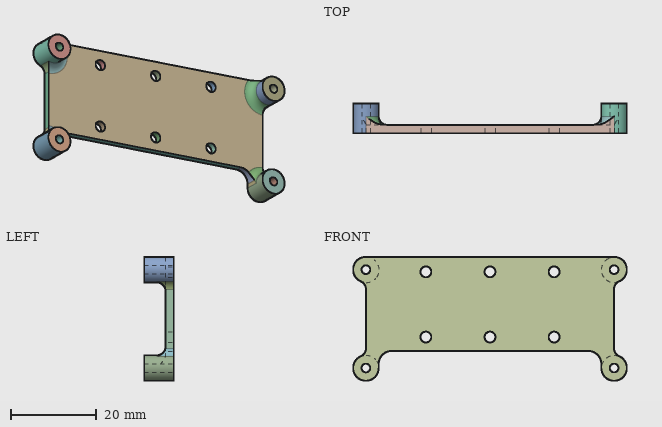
import cadquery as cq
import math

LENGTH = 64.0
HEIGHT = 29.0
DEPTH = 7.0

PLATE_THICKNESS = 2.0
PLATE_HEIGHT = 22.0
SIDE_FILLET = 2.0
NOTCH_FILLET = 3.0

BOSS_DIAMETER = 6.0
BOSS_HOLE_DIAMETER = 2.0
BOSS_ROOT_FILLET = 2.0
SEAM_TILT = 60

HOLE_DIAMETER = 2.5
HOLE_PITCH_X = 15.0
HOLE_PITCH_Z = 15.2
TOP_HOLE_DROP = 3.5

boss_radius = BOSS_DIAMETER / 2
boss_x = LENGTH / 2 - boss_radius
boss_z = HEIGHT / 2 - boss_radius
top_z = HEIGHT / 2
notch_z = top_z - PLATE_HEIGHT
notch_x = boss_x - boss_radius
boss_centres = [(x, z) for x in (-boss_x, boss_x) for z in (-boss_z, boss_z)]


def front_sketch():
    """Workplane on the flat face; a negative extrusion length goes toward +Y."""
    return cq.Workplane("XZ")


def half_web():
    """Right half of the web between the bosses, running in to the boss centres."""
    reach = boss_radius + SIDE_FILLET
    fillet_drop = math.sqrt(reach**2 - SIDE_FILLET**2)
    touch_x = boss_x + boss_radius * SIDE_FILLET / reach
    touch_drop = boss_radius * fillet_drop / reach

    half_angle = math.atan2(fillet_drop, SIDE_FILLET) / 2
    middle_x = boss_x + SIDE_FILLET * (1 - math.cos(half_angle))
    middle_drop = fillet_drop - SIDE_FILLET * math.sin(half_angle)

    corner_inset = NOTCH_FILLET * (1 - math.sqrt(0.5))

    return (
        front_sketch()
        .moveTo(0, top_z)
        .lineTo(boss_x, top_z)
        .lineTo(boss_x, boss_z)
        .lineTo(touch_x, boss_z - touch_drop)
        .threePointArc((middle_x, boss_z - middle_drop), (boss_x, boss_z - fillet_drop))
        .lineTo(boss_x, fillet_drop - boss_z)
        .threePointArc((middle_x, middle_drop - boss_z), (touch_x, touch_drop - boss_z))
        .lineTo(boss_x, -boss_z)
        .lineTo(notch_x, -boss_z)
        .lineTo(notch_x, notch_z - NOTCH_FILLET)
        .threePointArc(
            (notch_x - corner_inset, notch_z - corner_inset),
            (notch_x - NOTCH_FILLET, notch_z),
        )
        .lineTo(0, notch_z)
        .close()
    )


def web_prism(depth):
    """The whole web outline extruded from the flat face."""
    half = half_web().extrude(-depth)
    return half.union(half.mirror("YZ"))


def root_flare(x, z):
    """Concave flare from a boss wall down to the plate; its seam is turned toward the inside of the plate."""
    flare_radius = boss_radius + BOSS_ROOT_FILLET
    flare_top = PLATE_THICKNESS + BOSS_ROOT_FILLET
    arc_inset = BOSS_ROOT_FILLET * (1 - math.sqrt(0.5))
    seam_angle = SEAM_TILT if x < 0 else 180 - SEAM_TILT
    return (
        cq.Workplane("XY")
        .lineTo(flare_radius, 0)
        .lineTo(flare_radius, PLATE_THICKNESS)
        .threePointArc(
            (boss_radius + arc_inset, PLATE_THICKNESS + arc_inset),
            (boss_radius, flare_top),
        )
        .lineTo(0, flare_top)
        .close()
        .revolve(360, (0, 0), (0, 1))
        .rotate((0, 0, 0), (0, 1, 0), -seam_angle)
        .translate((x, 0, z))
    )


def boss(x, z):
    """Plain round boss over the full depth."""
    return front_sketch().center(x, z).circle(boss_radius).extrude(-DEPTH)


flare_limits = web_prism(DEPTH)
result = web_prism(PLATE_THICKNESS)
for centre_x, centre_z in boss_centres:
    flare = root_flare(centre_x, centre_z).intersect(flare_limits)
    result = result.union(flare.union(boss(centre_x, centre_z)))
result = result.clean()

boss_holes = front_sketch().pushPoints(boss_centres).circle(BOSS_HOLE_DIAMETER / 2).extrude(-DEPTH)
result = result.cut(boss_holes)

hole_row_z = top_z - TOP_HOLE_DROP - HOLE_PITCH_Z / 2
plate_holes = (
    front_sketch()
    .center(0, hole_row_z)
    .rarray(HOLE_PITCH_X, HOLE_PITCH_Z, 3, 2)
    .circle(HOLE_DIAMETER / 2)
    .extrude(-PLATE_THICKNESS)
)
result = result.cut(plate_holes)